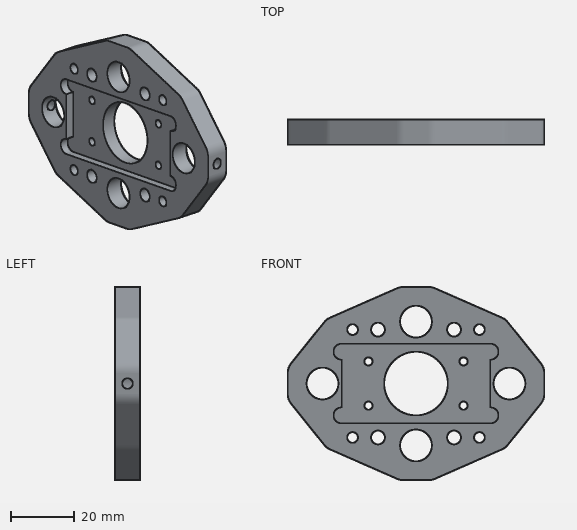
import cadquery as cq

length = 81.0
height = 61.0
thickness = 8.0
half_flat = 5.0
shoulder_x = 28.2
shoulder_z = 20.3
corner_radius = 5.0

bore_diameter = 20.0
large_hole_diameter = 10.0
large_hole_chamfer = 2.0
large_hole_x = 29.5
large_hole_z = 19.5

row_z = 17.0
outer_row_diameter = 3.3
outer_row_x = 20.0
inner_row_diameter = 4.3
inner_row_x = 12.0

mount_hole_diameter = 2.5
mount_hole_x = 15.0
mount_hole_z = 7.0

pocket_half_length = 23.5
pocket_half_height = 12.55
pocket_depth = 3.0
relief_radius = 2.5

cross_hole_diameter = 3.3

front_y = -thickness / 2


def mirrored(x, z):
    """Return the point in all four quadrants."""
    return [(sx * x, sz * z) for sx in (-1, 1) for sz in (-1, 1)]


def front_plane():
    """XZ sketch plane on the -Y face; extruding by a negative length goes into the plate."""
    return cq.Workplane("XZ", origin=(0, front_y, 0))


def make_plate():
    quarter = [(half_flat, height / 2), (shoulder_x, shoulder_z), (length / 2, half_flat)]
    right_half = quarter + [(x, -z) for x, z in reversed(quarter)]
    left_half = [(-x, z) for x, z in reversed(right_half)]
    plate = front_plane().polyline(right_half + left_half).close().extrude(-thickness)
    return plate.edges("|Y").fillet(corner_radius)


def through_holes(points, diameter):
    return front_plane().pushPoints(points).circle(diameter / 2).extrude(-thickness)


def rear_chamfers(points):
    """45 degree cones that widen the large holes towards the +Y face."""
    rim_radius = large_hole_diameter / 2 + large_hole_chamfer
    rear_plane = cq.Workplane("XZ", origin=(0, thickness / 2, 0))
    return rear_plane.pushPoints(points).circle(rim_radius).extrude(large_hole_chamfer, taper=45)


def make_pocket():
    pocket = front_plane().rect(2 * pocket_half_length, 2 * pocket_half_height).extrude(-pocket_depth)
    relief_points = mirrored(pocket_half_length, pocket_half_height - relief_radius)
    reliefs = front_plane().pushPoints(relief_points).circle(relief_radius).extrude(-pocket_depth)
    return pocket.union(reliefs)


def make_cross_hole(side):
    """Hole along X from one end face to the centre of the nearby large hole."""
    end_plane = cq.Workplane("YZ", origin=(side * length / 2, 0, 0))
    return end_plane.circle(cross_hole_diameter / 2).extrude(side * (large_hole_x - length / 2))


large_hole_points = [(large_hole_x, 0), (-large_hole_x, 0), (0, large_hole_z), (0, -large_hole_z)]
hole_groups = [
    ([(0, 0)], bore_diameter),
    (large_hole_points, large_hole_diameter),
    (mirrored(outer_row_x, row_z), outer_row_diameter),
    (mirrored(inner_row_x, row_z), inner_row_diameter),
    (mirrored(mount_hole_x, mount_hole_z), mount_hole_diameter),
]

result = make_plate().cut(make_pocket())
for points, diameter in hole_groups:
    result = result.cut(through_holes(points, diameter))
result = result.cut(rear_chamfers(large_hole_points))
for side in (-1, 1):
    result = result.cut(make_cross_hole(side))